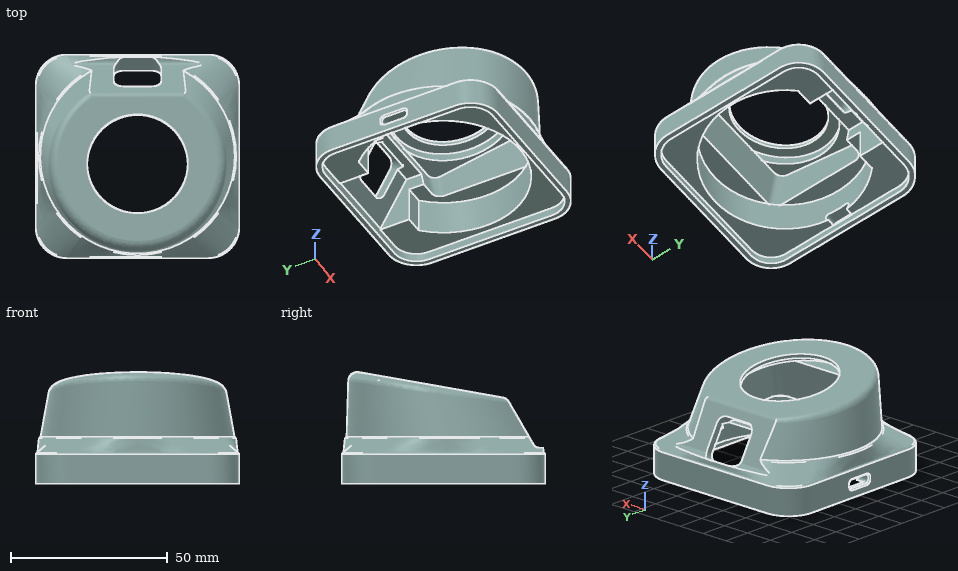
import cadquery as cq
import math

base_size = 65.0
base_corner_radius = 10.0
base_height = 10.0
base_edge_chamfer = 0.5

shoulder_top_z = 14.5
shoulder_top_radius = 31.5
body_bottom_z = 15.0
body_bottom_radius = 31.0

top_tilt = 10.0
top_center_y = -2.8
top_center_z = 31.44
top_radius = 28.0
top_edge_fillet = 3.0

rear_slope = 60.0
rear_foot_z = 11.6
rear_foot_y = 29.3
rear_foot_fillet = 2.0

window_radius = 16.0
window_shift = 0.5
window_lip_depth = 1.5
recess_radius = 20.0
recess_depth = 4.5
pocket_half_width = 21.5
pocket_rear_reach = 19.5
pocket_front_reach = 15.5
pocket_corner_radius = 3.0

base_wall = 2.0
base_pocket_height = 3.1
chamber_radius = 28.0
chamber_top_z = 15.5
chamber_rear_y = 20.0

channel_width = 26.5
channel_front_y = 5.0
channel_back_y = base_size / 2 - base_wall
channel_top_z = 20.0
rear_wall = 3.0

opening_size = 15.0
opening_corner_radius = 3.0
opening_center_z = 17.1
opening_depth = 5.0

port_length = 9.0
port_height = 3.0
port_corner_radius = 1.2
port_center_z = 4.55
port_chamfer = 0.5
port_depth = base_size / 2 - chamber_radius + base_wall

clearance = 40.0

slope = math.radians(rear_slope)


def rear_face_y(z):
    """Y of the slanted rear face at height z."""
    return rear_foot_y - (z - rear_foot_z) / math.tan(slope)


top_plane = cq.Plane(origin=(0, top_center_y, top_center_z), xDir=(1, 0, 0)).rotated((-top_tilt, 0, 0))
window_plane = cq.Plane(
    origin=top_plane.toWorldCoords((0, window_shift, 0)).toTuple(),
    xDir=(1, 0, 0),
    normal=top_plane.zDir.toTuple(),
)


def rounded_square(size, corner_radius):
    return cq.Sketch().rect(size, size).vertices().fillet(corner_radius)


def make_base():
    block = cq.Workplane().placeSketch(rounded_square(base_size, base_corner_radius)).extrude(base_height)
    return block.faces(">Z").edges().chamfer(base_edge_chamfer)


def make_shoulder():
    foot = rounded_square(base_size - 2 * base_edge_chamfer, base_corner_radius - base_edge_chamfer)
    rim = cq.Sketch().circle(shoulder_top_radius)
    rise = cq.Vector(0, 0, shoulder_top_z - base_height)
    flare = cq.Workplane().workplane(offset=base_height).placeSketch(foot, rim.moved(cq.Location(rise))).loft()
    step = (
        cq.Workplane()
        .workplane(offset=shoulder_top_z)
        .circle(shoulder_top_radius)
        .workplane(offset=body_bottom_z - shoulder_top_z)
        .circle(body_bottom_radius)
        .loft()
    )
    return flare.union(step)


def make_body():
    lower = cq.Wire.makeCircle(body_bottom_radius, cq.Vector(0, 0, body_bottom_z), cq.Vector(0, 0, 1))
    upper = cq.Wire.makeCircle(top_radius, top_plane.origin, top_plane.zDir)
    return cq.Workplane(cq.Solid.makeLoft([lower, upper], True))


def make_rear_cut():
    """Everything behind the slanted rear face and above the flat at its foot."""
    high_z = rear_foot_z + clearance
    wedge = (
        cq.Workplane("YZ")
        .moveTo(rear_foot_y + clearance, rear_foot_z)
        .lineTo(rear_foot_y, rear_foot_z)
        .lineTo(rear_face_y(high_z), high_z)
        .lineTo(rear_foot_y + clearance, high_z)
        .close()
        .extrude(clearance, both=True)
    )
    foot_edge = cq.selectors.NearestToPointSelector((0, rear_foot_y, rear_foot_z))
    return wedge.edges(foot_edge).fillet(rear_foot_fillet)


def make_window():
    lip = cq.Workplane(window_plane).circle(window_radius).extrude(-recess_depth)
    recess = (
        cq.Workplane(window_plane)
        .workplane(offset=-window_lip_depth)
        .circle(recess_radius)
        .extrude(window_lip_depth - recess_depth)
    )
    return lip.union(recess)


def make_pocket():
    """Tilted pocket under the window, running down into the chamber."""
    pocket = (
        cq.Workplane(window_plane)
        .workplane(offset=-recess_depth)
        .center(0, (pocket_rear_reach - pocket_front_reach) / 2)
        .rect(2 * pocket_half_width, pocket_rear_reach + pocket_front_reach)
        .extrude(-clearance)
        .edges(cq.selectors.ParallelDirSelector(top_plane.zDir))
        .fillet(pocket_corner_radius)
    )
    above_chamber = (
        cq.Workplane()
        .workplane(offset=chamber_top_z)
        .rect(2 * clearance, 2 * clearance)
        .extrude(clearance)
    )
    return pocket.intersect(above_chamber)


def make_chamber():
    """Round chamber with a flat rear side, above the square pocket of the base."""
    base_pocket = rounded_square(base_size - 2 * base_wall, base_corner_radius - base_wall)
    square_part = cq.Workplane().placeSketch(base_pocket).extrude(base_pocket_height)
    round_part = cq.Workplane().circle(chamber_radius).extrude(chamber_top_z)
    behind_flat = (
        cq.Workplane()
        .center(0, chamber_rear_y + clearance / 2)
        .rect(2 * clearance, clearance)
        .extrude(chamber_top_z)
    )
    return round_part.cut(behind_flat).union(square_part)


def make_channel():
    inner_offset = rear_wall / math.sin(slope)
    corner_z = rear_foot_z + (rear_foot_y - inner_offset - channel_back_y) * math.tan(slope)
    return (
        cq.Workplane("YZ")
        .moveTo(channel_front_y, 0)
        .lineTo(channel_back_y, 0)
        .lineTo(channel_back_y, corner_z)
        .lineTo(rear_face_y(channel_top_z) - inner_offset, channel_top_z)
        .lineTo(channel_front_y, channel_top_z)
        .close()
        .extrude(channel_width / 2, both=True)
    )


def make_rear_opening():
    normal = (0, math.sin(slope), math.cos(slope))
    center = (0, rear_face_y(opening_center_z), opening_center_z)
    return (
        cq.Workplane(cq.Plane(origin=center, xDir=(1, 0, 0), normal=normal))
        .workplane(offset=-opening_depth)
        .placeSketch(rounded_square(opening_size, opening_corner_radius))
        .extrude(2 * opening_depth)
    )


def make_port():
    outer_face = cq.Workplane("YZ", origin=(-base_size / 2, 0, port_center_z))
    outline = cq.Sketch().rect(port_length, port_height).vertices().fillet(port_corner_radius)
    mouth = (
        cq.Sketch()
        .rect(port_length + 2 * port_chamfer, port_height + 2 * port_chamfer)
        .vertices()
        .fillet(port_corner_radius + port_chamfer)
    )
    tunnel = outer_face.placeSketch(outline).extrude(port_depth)
    inward = cq.Location(cq.Vector(0, 0, port_chamfer))
    flare = outer_face.placeSketch(mouth, outline.moved(inward)).loft()
    return tunnel.union(flare)


outside = make_base().union(make_shoulder()).union(make_body()).cut(make_rear_cut())
outside = outside.faces(cq.selectors.NearestToPointSelector(top_plane.origin.toTuple()))
outside = outside.edges().fillet(top_edge_fillet)

result = (
    outside.cut(make_window())
    .cut(make_chamber())
    .cut(make_pocket())
    .cut(make_channel())
    .cut(make_rear_opening())
    .cut(make_port())
)